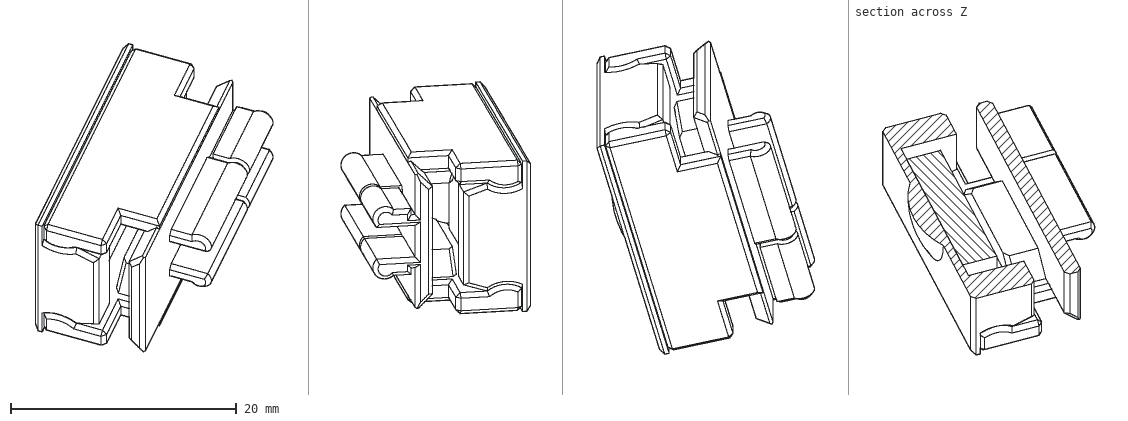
import cadquery as cq
import math

LENGTH = 23.05
HEIGHT = 14.0
CHAMFER = 0.4
HALF_LENGTH = LENGTH / 2

FACE_THICKNESS = 0.8
DOME_DIAMETER = 8.5
DOME_RISE = 1.25
TAB_BACK = 6.03
TAB_TIP_HALF_HEIGHT = 4.33
TAB_WIDTH = 3.0

HOUSING_FRONT = FACE_THICKNESS
WING_BACK = 6.74
HOUSING_BACK = 10.4
MIDDLE_HALF_LENGTH = 7.55
CAVITY_HALF_HEIGHT = 5.03

BUMP_X = 2.27
BUMP_RADIUS = 2.75
BUMP_CENTRE_Z = 7.24

RIB_FRONT = 5.73
RIB_HALF_LENGTH = 6.5
RIB_HALF_OPENING = 3.07

WEB_BACK = 4.0
WEB_HALF_LENGTH = MIDDLE_HALF_LENGTH - CHAMFER

BAR_THICKNESS = 1.55
BAR_FRONT = HOUSING_BACK - BAR_THICKNESS
PRONG_THICKNESS = 1.6
PRONG_OUTER_Z = RIB_HALF_OPENING
PRONG_INNER_Z = PRONG_OUTER_Z - PRONG_THICKNESS
PRONG_MIDDLE_Z = (PRONG_INNER_Z + PRONG_OUTER_Z) / 2
PRONG_TIP = 14.2
PRONG_ROOT = HOUSING_BACK - BAR_THICKNESS / 2
BEAD_RADIUS = 1.1
LONG_PRONG_HALF_LENGTH = 4.97
PRONG_GAP = 0.15
RELIEF_WIDTH = 0.35
RELIEF_DEPTH = 0.6


def block(x_min, x_max, y_min, y_max, z_min, z_max):
    size = (x_max - x_min, y_max - y_min, z_max - z_min)
    return cq.Workplane("XY").box(*size, centered=False).translate((x_min, y_min, z_min))


def extrude_along_y(profile_xz, y_min, y_max):
    """Extrude a wire drawn on the XZ plane (normal -Y) between two Y positions."""
    return profile_xz.extrude(y_min - y_max).translate((0, y_min, 0))


def bump_z(x):
    """Height of the bump surface above the mid plane at a given X."""
    return BUMP_CENTRE_Z - math.sqrt(BUMP_RADIUS**2 - (x - BUMP_X) ** 2)


def bump_end_x(z):
    """X where the back side of the bump reaches a given height."""
    return BUMP_X + math.sqrt(BUMP_RADIUS**2 - (BUMP_CENTRE_Z - z) ** 2)


BUMP_LOW_Z = BUMP_CENTRE_Z - BUMP_RADIUS
BUMP_END = bump_end_x(CAVITY_HALF_HEIGHT)
BUMP_FRONT_Z = bump_z(HOUSING_FRONT)


def make_tab():
    """Snap tab at the -Y end, hollowed to fit the bumps, chamfered on its outer end."""
    profile = (
        cq.Workplane("XZ")
        .moveTo(FACE_THICKNESS, -BUMP_FRONT_Z)
        .threePointArc((BUMP_X, -BUMP_LOW_Z), (BUMP_END, -CAVITY_HALF_HEIGHT))
        .lineTo(TAB_BACK, -TAB_TIP_HALF_HEIGHT)
        .lineTo(TAB_BACK, TAB_TIP_HALF_HEIGHT)
        .lineTo(BUMP_END, CAVITY_HALF_HEIGHT)
        .threePointArc((BUMP_X, BUMP_LOW_Z), (FACE_THICKNESS, BUMP_FRONT_Z))
        .close()
    )
    tab = extrude_along_y(profile, -HALF_LENGTH, -HALF_LENGTH + TAB_WIDTH)
    return tab.faces("<Y").edges("not <X").chamfer(CHAMFER)


def make_cover():
    face = block(0, FACE_THICKNESS, -HALF_LENGTH, HALF_LENGTH, -HEIGHT / 2, HEIGHT / 2)
    face = face.faces("<X").edges().chamfer(CHAMFER)

    dome_radius = ((DOME_DIAMETER / 2) ** 2 + DOME_RISE**2) / (2 * DOME_RISE)
    ball = cq.Workplane("XY").sphere(dome_radius).translate((dome_radius - DOME_RISE, 0, 0))
    front_half = block(-DOME_RISE, FACE_THICKNESS / 2, -DOME_DIAMETER / 2, DOME_DIAMETER / 2,
                       -DOME_DIAMETER / 2, DOME_DIAMETER / 2)
    dome = ball.intersect(front_half)

    tab = make_tab()
    return face.union(dome).union(tab).union(tab.mirror("XZ"))


SHARP_TIP_Z = CAVITY_HALF_HEIGHT + BAR_THICKNESS


def dovetail_prism(upper_half):
    """Bar of full length whose upper outline is given and mirrored to the lower side."""
    lower_half = [(x, -z) for x, z in reversed(upper_half)]
    profile = cq.Workplane("XZ").polyline(upper_half + lower_half).close()
    return extrude_along_y(profile, -HALF_LENGTH, HALF_LENGTH)


def sharp_dovetail():
    """Dovetail with 45 degree flanks that meet the back in sharp tips."""
    return dovetail_prism([(BAR_FRONT, CAVITY_HALF_HEIGHT), (HOUSING_BACK, SHARP_TIP_Z)])


def blunt_dovetail():
    """The same dovetail with a chamfer along each tip."""
    flank_cut = CHAMFER / math.sqrt(2)
    return dovetail_prism([
        (BAR_FRONT, CAVITY_HALF_HEIGHT),
        (HOUSING_BACK - flank_cut, SHARP_TIP_Z - flank_cut),
        (HOUSING_BACK, SHARP_TIP_Z - CHAMFER),
    ])


def make_rib():
    """Upper rib with 45 degree ramps at both ends, chamfered along their front edges."""
    drop = CAVITY_HALF_HEIGHT - RIB_HALF_OPENING
    profile = [
        (-RIB_HALF_LENGTH, CAVITY_HALF_HEIGHT),
        (RIB_HALF_LENGTH, CAVITY_HALF_HEIGHT),
        (RIB_HALF_LENGTH - drop, RIB_HALF_OPENING),
        (drop - RIB_HALF_LENGTH, RIB_HALF_OPENING),
    ]
    rib = cq.Workplane("YZ").polyline(profile).close().extrude(BAR_FRONT - RIB_FRONT)
    rib = rib.faces("<X").edges("not |Y").chamfer(CHAMFER)
    return rib.translate((RIB_FRONT, 0, 0))


def make_housing_half():
    """Upper half of the housing, above the mid plane."""
    outline = [
        (HOUSING_FRONT, -HALF_LENGTH),
        (WING_BACK, -HALF_LENGTH),
        (WING_BACK, -MIDDLE_HALF_LENGTH),
        (HOUSING_BACK, -MIDDLE_HALF_LENGTH),
        (HOUSING_BACK, MIDDLE_HALF_LENGTH),
        (WING_BACK, MIDDLE_HALF_LENGTH),
        (WING_BACK, HALF_LENGTH),
        (HOUSING_FRONT, HALF_LENGTH),
    ]
    shell = cq.Workplane("XY").polyline(outline).close().extrude(HEIGHT / 2)

    cavity = (
        cq.Workplane("XZ")
        .moveTo(HOUSING_FRONT, 0)
        .lineTo(HOUSING_FRONT, BUMP_FRONT_Z)
        .threePointArc((BUMP_X, BUMP_LOW_Z), (BUMP_END, CAVITY_HALF_HEIGHT))
        .lineTo(HOUSING_BACK, CAVITY_HALF_HEIGHT)
        .lineTo(HOUSING_BACK, 0)
        .close()
    )
    shell = shell.cut(extrude_along_y(cavity, -HALF_LENGTH, HALF_LENGTH))

    wing_ends = shell.faces("<Y or >Y").edges()
    top_rim = shell.faces(">Z").edges()
    notch_lips = shell.edges(
        cq.selectors.BoxSelector(
            (WING_BACK - CHAMFER, -HALF_LENGTH, CAVITY_HALF_HEIGHT - CHAMFER),
            (HOUSING_BACK - CHAMFER, HALF_LENGTH, CAVITY_HALF_HEIGHT + CHAMFER),
        )
    )
    shell = wing_ends.add(top_rim).add(notch_lips).chamfer(CHAMFER)
    return shell.union(make_rib())


def make_housing():
    upper = make_housing_half()
    web = block(HOUSING_FRONT, WEB_BACK, -WEB_HALF_LENGTH, WEB_HALF_LENGTH,
                -CAVITY_HALF_HEIGHT, CAVITY_HALF_HEIGHT)
    return upper.union(upper.mirror("XY")).union(web).cut(blunt_dovetail())


def make_bead(y_min, y_max, chamfered_ends):
    """Cylinder along the prong tip, cut flat level with the inner face of the prong."""
    bead_x = PRONG_TIP - BEAD_RADIUS
    circle = cq.Workplane("XZ").center(bead_x, PRONG_MIDDLE_Z).circle(BEAD_RADIUS)
    cylinder = extrude_along_y(circle, y_min, y_max)
    cylinder = cylinder.faces(chamfered_ends).edges().chamfer(CHAMFER)
    keep = block(bead_x - 2 * BEAD_RADIUS, bead_x + 2 * BEAD_RADIUS, y_min, y_max,
                 PRONG_INNER_Z, PRONG_OUTER_Z + BEAD_RADIUS)
    keep = keep.faces(chamfered_ends).edges("<Z").chamfer(CHAMFER)
    return cylinder.intersect(keep)


def make_stem(x_min, y_min, y_max, thickness):
    """Flat slab of an upper prong that ends at the middle of the bead."""
    return block(x_min, PRONG_TIP - BEAD_RADIUS, y_min, y_max,
                 PRONG_INNER_Z, PRONG_INNER_Z + thickness)


def make_long_prong():
    ends = "<Y or >Y"
    span = (-LONG_PRONG_HALF_LENGTH, LONG_PRONG_HALF_LENGTH)
    stem = make_stem(PRONG_ROOT, *span, PRONG_THICKNESS)
    stem = stem.faces(ends).edges("|X").chamfer(CHAMFER)
    return stem.union(make_bead(*span, ends))


def make_short_prong():
    """Prong at the +Y end with a relief groove across its root."""
    end = ">Y"
    span = (LONG_PRONG_HALF_LENGTH + PRONG_GAP, HALF_LENGTH)
    neck = make_stem(PRONG_ROOT, *span, PRONG_THICKNESS - RELIEF_DEPTH)
    neck = neck.faces(end).edges("|X").chamfer(CHAMFER)
    stem = make_stem(HOUSING_BACK + RELIEF_WIDTH, *span, PRONG_THICKNESS)
    stem = stem.faces(end).edges("not >X").chamfer(CHAMFER)
    stem = stem.union(neck)
    return stem.union(make_bead(*span, end))


def make_slider():
    bar = sharp_dovetail().faces("<Y or >Y").edges().chamfer(CHAMFER)
    slider = bar.intersect(blunt_dovetail())
    for prong in (make_long_prong(), make_short_prong()):
        slider = slider.union(prong).union(prong.mirror("XY"))
    return slider


cover = make_cover()
housing = make_housing()
slider = make_slider()
result = cq.Compound.makeCompound([body.solids().val() for body in (cover, housing, slider)])